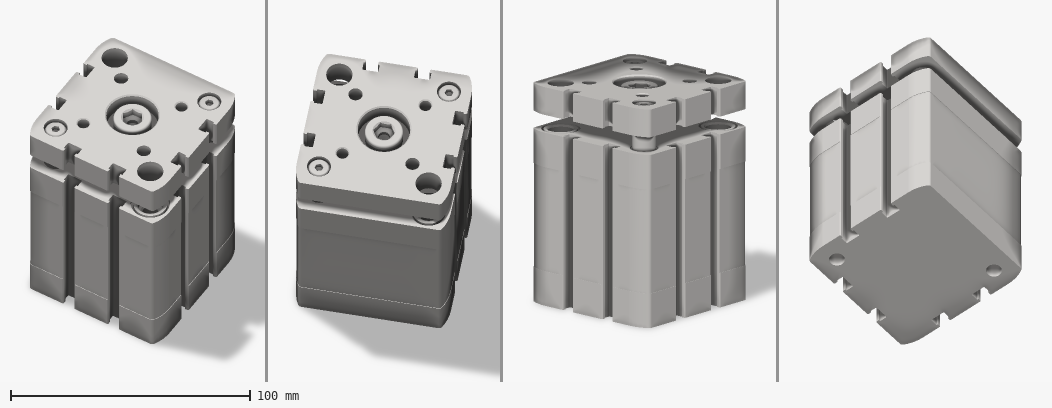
import cadquery as cq
import math

height = 94.7
width = 65.5
plate_thickness = 12.0
housing_height = 75.0
cover_height = 15.0
barrel_inset = 0.2
barrel_top = housing_height - cover_height
plate_bottom = height - plate_thickness
half_width = width / 2

corner_radius = 17.9
corner_start = 23.4
corner_round = 1.6

slot_offset = 11.0
slot_mouth = 5.3
slot_width = 6.8
slot_lip = 1.6
slot_mouth_chamfer = 0.4
slot_depth = 5.2
slot_corner_chamfer = 0.3

corner_offset = 23.3
rod_corners = [(-corner_offset, -corner_offset), (corner_offset, corner_offset)]
mount_corners = [(-corner_offset, corner_offset), (corner_offset, -corner_offset)]
guide_rod_diameter = 10.0
rod_bottom = barrel_top
rod_recess_diameter = 12.0
rod_recess_depth = 0.4

mount_hole_diameter = 6.6
mount_countersink_diameter = 8.05
mount_counterbore_diameter = 10.6
mount_counterbore_depth = 4.9
mount_rim_diameter = 12.0
gland_inner_diameter = 14.4
gland_outer_diameter = 16.4
gland_depth = 1.9

access_hole_diameter = 11.0
small_hole_offset = 14.9
small_hole_diameter = 6.0
thread_hole_diameter = 5.0
plate_bore_diameter = 22.0
plate_bore_chamfer = 0.6
plate_bore_depth = 7.6

screw_pocket_diameter = 10.0
screw_pocket_depth = 2.8
screw_head_diameter = 8.5
screw_head_chamfer = 0.5
screw_head_drop = 0.8
screw_socket_flats = 3.2
screw_socket_depth = 2.4
screw_socket_turn = -45

piston_rod_diameter = 16.0
piston_rod_drop = 1.4
piston_rod_round = 1.0
piston_flats = 12.8
flats_runout = 1.0
flats_bottom = housing_height + flats_runout
flats_top = height - 3.8
socket_flats = 8.0
socket_depth = 3.6
socket_chamfer_diameter = 9.6
socket_drill_diameter = 4.9
socket_drill_depth = 1.9
drill_tip_angle = 118
drill_tip_slope = 1 / math.tan(math.radians(drill_tip_angle / 2))


def hexagon_diameter(across_flats):
    return across_flats / math.cos(math.pi / 6)


def cylinder(diameter, bottom, top, places=((0, 0),)):
    return (
        cq.Workplane("XY", origin=(0, 0, bottom))
        .pushPoints(list(places))
        .circle(diameter / 2)
        .extrude(top - bottom)
    )


def cone(bottom_diameter, top_diameter, bottom, top, places=((0, 0),)):
    solid = cq.Solid.makeCone(bottom_diameter / 2, top_diameter / 2, top - bottom)
    return (
        cq.Workplane("XY")
        .pushPoints(list(places))
        .eachpoint(lambda place: solid.moved(place).moved(cq.Location((0, 0, bottom))), combine=False)
    )


def profile_block(bottom, top, inset):
    """Rounded square block; the inset moves the whole outline inwards."""
    side = half_width - inset
    radius = corner_radius - inset
    centre = side - radius
    sweep = math.asin((side - corner_start) / radius)
    end_x = centre + radius * math.cos(sweep)
    mid_x = centre + radius * math.cos(sweep / 2)
    mid_y = corner_start + radius * math.sin(sweep / 2)
    return (
        cq.Workplane("XY", origin=(0, 0, bottom))
        .moveTo(side, -corner_start)
        .lineTo(side, corner_start)
        .threePointArc((mid_x, mid_y), (end_x, side))
        .lineTo(-end_x, side)
        .threePointArc((-mid_x, mid_y), (-side, corner_start))
        .lineTo(-side, -corner_start)
        .threePointArc((-mid_x, -mid_y), (-end_x, -side))
        .lineTo(end_x, -side)
        .threePointArc((mid_x, -mid_y), (side, -corner_start))
        .close()
        .extrude(top - bottom)
        .edges("|Z and (>Y or <Y)")
        .fillet(corner_round)
    )


def t_slots(bottom, top):
    """Pairs of T-slots, with chamfered mouths, on the left, front and right sides."""
    length = top - bottom
    mouth = (
        cq.Workplane("XY", origin=(0, -half_width, bottom))
        .rect(slot_mouth, 2 * slot_lip)
        .extrude(length)
    )
    head = (
        cq.Workplane("XY", origin=(0, -half_width + (slot_lip + slot_depth) / 2, bottom))
        .rect(slot_width, slot_depth - slot_lip)
        .extrude(length)
        .edges("|Z and >Y")
        .chamfer(slot_corner_chamfer)
    )
    flare_half = slot_mouth / 2 + slot_mouth_chamfer
    flare = (
        cq.Workplane("XY", origin=(0, -half_width, bottom))
        .moveTo(-flare_half, 0)
        .lineTo(flare_half, 0)
        .lineTo(0, flare_half)
        .close()
        .extrude(length)
    )
    slot = mouth.union(head).union(flare)
    pair = slot.translate((-slot_offset, 0, 0)).union(slot.translate((slot_offset, 0, 0)))
    slots = pair
    for angle in (-90, 90):
        slots = slots.union(pair.rotate((0, 0, 0), (0, 0, 1), angle))
    return slots


def make_housing():
    housing = profile_block(0, cover_height, 0)
    housing = housing.union(profile_block(cover_height, barrel_top, barrel_inset))
    housing = housing.union(profile_block(barrel_top, housing_height, 0))
    housing = housing.cut(t_slots(0, housing_height))

    gland = cylinder(gland_outer_diameter, housing_height - gland_depth, housing_height, mount_corners)
    core = cylinder(gland_inner_diameter, housing_height - gland_depth, housing_height, mount_corners)
    housing = housing.cut(gland.cut(core))

    counterbore_floor = housing_height - mount_counterbore_depth
    sink_depth = (mount_countersink_diameter - mount_hole_diameter) / 2
    rim_depth = (mount_rim_diameter - mount_counterbore_diameter) / 2
    housing = housing.cut(cylinder(mount_hole_diameter, 0, housing_height, mount_corners))
    housing = housing.cut(
        cylinder(mount_counterbore_diameter, counterbore_floor, housing_height, mount_corners)
    )
    housing = housing.cut(
        cone(
            mount_hole_diameter,
            mount_countersink_diameter,
            counterbore_floor - sink_depth,
            counterbore_floor,
            mount_corners,
        )
    )
    housing = housing.cut(
        cone(
            mount_counterbore_diameter,
            mount_rim_diameter,
            housing_height - rim_depth,
            housing_height,
            mount_corners,
        )
    )

    recess_floor = housing_height - rod_recess_depth
    housing = housing.cut(cylinder(rod_recess_diameter, recess_floor, housing_height, rod_corners))
    housing = housing.cut(cylinder(guide_rod_diameter, rod_bottom, housing_height, rod_corners))
    return housing.cut(cylinder(piston_rod_diameter, rod_bottom, housing_height))


def make_piston_rod():
    top = height - piston_rod_drop
    rod = cylinder(piston_rod_diameter, rod_bottom, top)
    rod = rod.faces(">Z").edges().fillet(piston_rod_round)

    outside = piston_rod_diameter - piston_flats / 2
    flat_cut = (
        cq.Workplane("YZ", origin=(-half_width, 0, 0))
        .moveTo(piston_flats / 2, flats_bottom)
        .lineTo(outside, flats_bottom - 2 * flats_runout)
        .lineTo(outside, flats_top)
        .lineTo(piston_flats / 2, flats_top)
        .close()
        .extrude(width)
    )
    return rod.cut(flat_cut).cut(flat_cut.mirror("XZ"))


def cut_piston_socket(body):
    """Chamfered hexagon socket with a drilled hole in its conical floor."""
    top = height - piston_rod_drop
    socket_bottom = top - socket_depth
    floor_bottom = socket_bottom - (socket_flats - socket_drill_diameter) / 2 * drill_tip_slope
    drill_bottom = floor_bottom - socket_drill_depth
    tip_depth = socket_drill_diameter / 2 * drill_tip_slope
    rim_depth = (socket_chamfer_diameter - socket_flats) / 2
    body = body.cut(
        cq.Workplane("XY", origin=(0, 0, socket_bottom))
        .polygon(6, hexagon_diameter(socket_flats))
        .extrude(socket_depth)
    )
    body = body.cut(cone(socket_flats, socket_chamfer_diameter, top - rim_depth, top))
    body = body.cut(cone(socket_drill_diameter, socket_flats, floor_bottom, socket_bottom))
    body = body.cut(cylinder(socket_drill_diameter, drill_bottom, socket_bottom))
    return body.cut(cone(0, socket_drill_diameter, drill_bottom - tip_depth, drill_bottom))


def make_screw_head(place):
    """Chamfered head on the floor of its pocket, with a hexagon socket."""
    top = height - screw_head_drop
    head = cylinder(screw_head_diameter, height - screw_pocket_depth, top, [place])
    head = head.faces(">Z").edges().chamfer(screw_head_chamfer)
    socket = (
        cq.Workplane("XY")
        .polygon(6, hexagon_diameter(screw_socket_flats))
        .extrude(screw_socket_depth)
        .rotate((0, 0, 0), (0, 0, 1), screw_socket_turn)
        .translate((*place, top - screw_socket_depth))
    )
    return head.cut(socket)


def make_moving_plate():
    plate = profile_block(plate_bottom, height, 0)
    plate = plate.cut(t_slots(plate_bottom, height))

    rim_diameter = plate_bore_diameter + 2 * plate_bore_chamfer
    plate = plate.cut(cylinder(plate_bore_diameter, height - plate_bore_depth, height))
    plate = plate.cut(cone(plate_bore_diameter, rim_diameter, height - plate_bore_chamfer, height))

    dowels = [(-small_hole_offset, small_hole_offset), (small_hole_offset, -small_hole_offset)]
    threads = [(small_hole_offset, small_hole_offset), (-small_hole_offset, -small_hole_offset)]
    thread_chamfer = (small_hole_diameter - thread_hole_diameter) / 2
    plate = plate.cut(cylinder(access_hole_diameter, plate_bottom, height, mount_corners))
    plate = plate.cut(cylinder(small_hole_diameter, plate_bottom, height, dowels))
    plate = plate.cut(cylinder(thread_hole_diameter, plate_bottom, height, threads))
    plate = plate.cut(
        cone(thread_hole_diameter, small_hole_diameter, height - thread_chamfer, height, threads)
    )

    plate = plate.cut(
        cylinder(screw_pocket_diameter, height - screw_pocket_depth, height, rod_corners)
    )
    plate = plate.union(cylinder(guide_rod_diameter, rod_bottom, plate_bottom, rod_corners))
    for place in rod_corners:
        plate = plate.union(make_screw_head(place))

    return cut_piston_socket(plate.union(make_piston_rod()))


housing = make_housing()
moving_plate = make_moving_plate()
result = cq.Compound.makeCompound([housing.solids().val(), moving_plate.solids().val()])